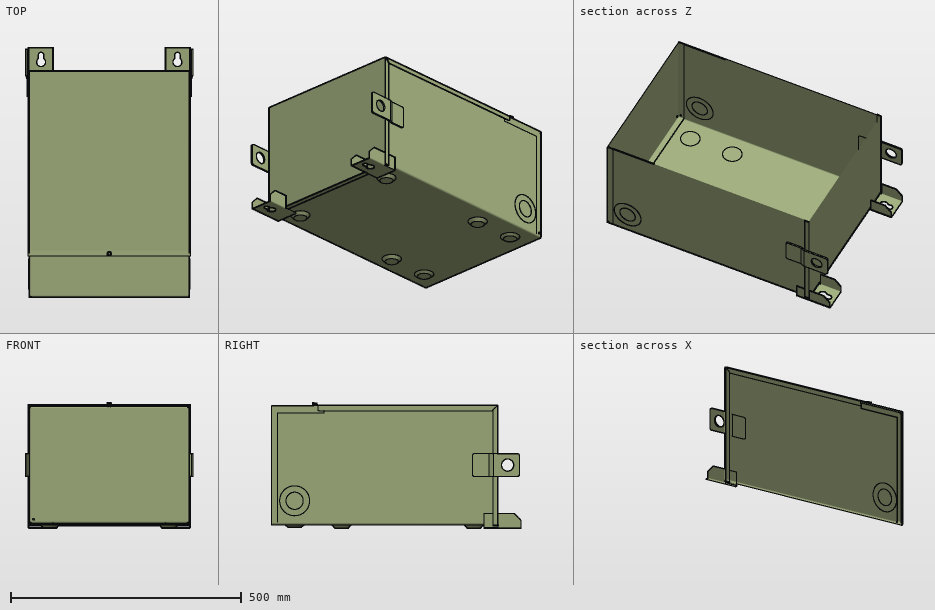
import cadquery as cq
import math

SHEET = 1.9
BEND_RADIUS = 4.0

TROUGH_HALF_WIDTH = 174.5
TROUGH_FLOOR_Z = 7.0
TROUGH_TOP_Z = 266.0
TROUGH_BEND_RADIUS = 4.5
TROUGH_FRONT_CORNER = 2.0

FOOT_X = 129.0
FOOT_TOP_DIAMETER = 42.0
FOOT_BOTTOM_DIAMETER = 29.0
FULL_FOOT_Y = (152.0, 439.5)
KNOCKOUT_Y = 50.5
FRONT_FOOT_BOTTOM_Z = 2.0

KNOCKOUT_Z = 59.5
KNOCKOUT_OUTER_DIAMETER = 65.0
KNOCKOUT_INNER_DIAMETER = 37.5
KNOCKOUT_HEIGHT = 0.5

CORNER_HOLE_DIAMETER = 4.0
SIDE_HOLE_Y = 5.5
SIDE_HOLE_Z = 17.5
FRONT_HOLE_X = -164.0
FRONT_HOLE_Z = 19.5

FRONT_HALF_WIDTH = TROUGH_HALF_WIDTH - SHEET
FRONT_BOTTOM_Z = 11.0
FRONT_TOP_Z = TROUGH_TOP_Z - SHEET
FRONT_TOP_DEPTH = 114.0
FRONT_FLANGE = 13.5

COVER_HALF_WIDTH = TROUGH_HALF_WIDTH + SHEET
COVER_FRONT_Y = 101.0
COVER_BACK_Y = 492.0
COVER_BOTTOM_Z = TROUGH_FLOOR_Z - SHEET
COVER_TOP_Z = TROUGH_TOP_Z + SHEET
TOP_FLANGE = 13.0
BACK_FLANGE = 11.5
FLANGE_CORNER = 3.0
MITRE_GAP = 0.25
TROUGH_BACK_Y = COVER_BACK_Y - SHEET

LIP_LENGTH = 11.5
LIP_RISE = 0.8
LIP_ANGLE = math.atan2(LIP_RISE, LIP_LENGTH)

SCREW_Y = 94.0
SCREW_TOP_Z = 272.5
SCREW_HEAD_DIAMETER = 10.0
SCREW_SHANK_DIAMETER = 5.5
SCREW_SHANK_LENGTH = 10.0
SCREW_SOCKET_DIAMETER = 6.0
SCREW_SOCKET_DEPTH = 1.5

BRACKET_FRONT_Y = 461.0
BRACKET_BACK_Y = 541.5
BRACKET_OUTER_X = COVER_HALF_WIDTH
BRACKET_INNER_X = 121.0
BRACKET_HEIGHT = 32.5
BRACKET_CHAMFER = 15.0
BRACKET_BEND_RADIUS = 2.5
KEYHOLE_X = 148.0
KEYHOLE_Y = 510.0
KEYHOLE_DIAMETER = 19.0
KEYHOLE_SLOT_WIDTH = 11.5
KEYHOLE_TOP_Y = 531.5

LUG_SHEET = 3.5
LUG_OFFSET = 4.0
LUG_FRONT_Y = 436.0
LUG_BACK_Y = 538.5
LUG_STEP_START_Y = 472.5
LUG_STEP_END_Y = 481.5
LUG_HEIGHT = 50.0
LUG_CENTRE_Z = 137.0
LUG_CORNER = 5.0
LUG_HOLE_DIAMETER = 26.0
LUG_HOLE_Y = 512.5


def block(x_range, y_range, z_range):
    """Box between two limits along each axis."""
    (x0, x1), (y0, y1), (z0, z1) = x_range, y_range, z_range
    return cq.Workplane("XY").box(x1 - x0, y1 - y0, z1 - z0, centered=False).translate((x0, y0, z0))


def centred_block(half_width, y_range, z_range):
    return block((-half_width, half_width), y_range, z_range)


def rod_x(diameter, y, z, x_start, length):
    """Cylinder along +X."""
    plane = cq.Plane(origin=(x_start, y, z), xDir=(0, 1, 0), normal=(1, 0, 0))
    return cq.Workplane(plane).circle(diameter / 2).extrude(length)


def mirrored(shape):
    return shape.mirror("YZ")


def make_foot(x, y, bottom_z):
    """Truncated cone below the floor."""
    return (
        cq.Workplane("XY", origin=(x, y, TROUGH_FLOOR_Z))
        .circle(FOOT_TOP_DIAMETER / 2)
        .workplane(offset=bottom_z - TROUGH_FLOOR_Z)
        .circle(FOOT_BOTTOM_DIAMETER / 2)
        .loft(combine=True)
    )


def make_knockout():
    """Raised ring on the -X wall."""
    start_x = -TROUGH_HALF_WIDTH - KNOCKOUT_HEIGHT
    ring = rod_x(KNOCKOUT_OUTER_DIAMETER, KNOCKOUT_Y, KNOCKOUT_Z, start_x, KNOCKOUT_HEIGHT)
    return ring.cut(rod_x(KNOCKOUT_INNER_DIAMETER, KNOCKOUT_Y, KNOCKOUT_Z, start_x, KNOCKOUT_HEIGHT))


def make_trough():
    length = (0, TROUGH_BACK_Y)
    outer = centred_block(TROUGH_HALF_WIDTH, length, (TROUGH_FLOOR_Z, TROUGH_TOP_Z))
    outer = outer.edges("|Y and <Z").fillet(TROUGH_BEND_RADIUS)
    inner = centred_block(TROUGH_HALF_WIDTH - SHEET, length, (TROUGH_FLOOR_Z + SHEET, TROUGH_TOP_Z))
    inner = inner.edges("|Y and <Z").fillet(TROUGH_BEND_RADIUS - SHEET)
    trough = outer.cut(inner)
    trough = trough.edges("|X and <Y and >Z").fillet(TROUGH_FRONT_CORNER)
    for side in (-1, 1):
        for y in FULL_FOOT_Y:
            trough = trough.union(make_foot(side * FOOT_X, y, 0))
        trough = trough.union(make_foot(side * FOOT_X, KNOCKOUT_Y, FRONT_FOOT_BOTTOM_Z))
    knockout = make_knockout()
    trough = trough.union(knockout).union(mirrored(knockout))
    side_hole = rod_x(CORNER_HOLE_DIAMETER, SIDE_HOLE_Y, SIDE_HOLE_Z, -TROUGH_HALF_WIDTH, SHEET)
    return trough.cut(side_hole)


def make_front_panel():
    height = (FRONT_BOTTOM_Z, FRONT_TOP_Z)
    outer = centred_block(FRONT_HALF_WIDTH, (0, FRONT_TOP_DEPTH), height)
    outer = outer.edges("|Y or <Y").fillet(BEND_RADIUS)
    inner = centred_block(
        FRONT_HALF_WIDTH - SHEET, (SHEET, FRONT_TOP_DEPTH), (FRONT_BOTTOM_Z + SHEET, FRONT_TOP_Z - SHEET)
    )
    inner = inner.edges("|Y or <Y").fillet(BEND_RADIUS - SHEET)
    opening = centred_block(
        FRONT_HALF_WIDTH, (FRONT_FLANGE, FRONT_TOP_DEPTH), (FRONT_BOTTOM_Z, FRONT_TOP_Z - FRONT_FLANGE)
    )
    corner_hole = (
        cq.Workplane("XZ", origin=(FRONT_HOLE_X, 0, FRONT_HOLE_Z))
        .circle(CORNER_HOLE_DIAMETER / 2)
        .extrude(-SHEET)
    )
    return outer.cut(inner).cut(opening).cut(corner_hole).cut(make_screw_shank())


def make_lip():
    """Strip rising towards the front along the cover's top edge."""
    front_y = COVER_FRONT_Y - LIP_LENGTH
    return (
        cq.Workplane("YZ", origin=(-COVER_HALF_WIDTH, 0, 0))
        .moveTo(COVER_FRONT_Y, COVER_TOP_Z - SHEET)
        .lineTo(COVER_FRONT_Y, COVER_TOP_Z)
        .lineTo(front_y, COVER_TOP_Z + LIP_RISE)
        .lineTo(front_y, COVER_TOP_Z + LIP_RISE - SHEET)
        .close()
        .extrude(2 * COVER_HALF_WIDTH)
    )


def make_mitre_cut():
    """Narrow diagonal cut between the top and back side flanges, clear of the bends."""
    corner_y = COVER_BACK_Y - BEND_RADIUS
    corner_z = COVER_TOP_Z - BEND_RADIUS
    slit_length = 2 * math.hypot(TOP_FLANGE, BACK_FLANGE)
    slit = centred_block(
        COVER_HALF_WIDTH,
        (corner_y - MITRE_GAP / 2, corner_y + MITRE_GAP / 2),
        (corner_z - slit_length, corner_z),
    )
    return slit.rotate((0, corner_y, corner_z), (1, corner_y, corner_z), -45)


def make_cover():
    outer = centred_block(
        COVER_HALF_WIDTH, (COVER_FRONT_Y, COVER_BACK_Y), (COVER_BOTTOM_Z, COVER_TOP_Z)
    )
    outer = outer.edges("|Y or >Y").fillet(BEND_RADIUS)
    inner = centred_block(
        TROUGH_HALF_WIDTH, (COVER_FRONT_Y, TROUGH_BACK_Y), (TROUGH_FLOOR_Z, TROUGH_TOP_Z)
    )
    opening = centred_block(
        COVER_HALF_WIDTH,
        (COVER_FRONT_Y, COVER_BACK_Y - BACK_FLANGE),
        (COVER_BOTTOM_Z, COVER_TOP_Z - TOP_FLANGE),
    )
    cover = outer.cut(inner).cut(opening)
    flange_corner = cq.selectors.BoxSelector(
        (-COVER_HALF_WIDTH - SHEET, COVER_FRONT_Y - SHEET, COVER_TOP_Z - TOP_FLANGE - SHEET),
        (COVER_HALF_WIDTH + SHEET, COVER_FRONT_Y + SHEET, COVER_TOP_Z - TOP_FLANGE + SHEET),
    )
    cover = cover.edges("|X").edges(flange_corner).fillet(FLANGE_CORNER)
    return cover.cut(make_mitre_cut()).union(make_lip()).cut(make_screw_shank())


def lip_surface_z(y):
    return COVER_TOP_Z + (COVER_FRONT_Y - y) * math.tan(LIP_ANGLE)


def lip_plane():
    """Workplane on the lip's upper face at the screw, square to the lip."""
    origin = (0, SCREW_Y, lip_surface_z(SCREW_Y))
    normal = (0, math.sin(LIP_ANGLE), math.cos(LIP_ANGLE))
    return cq.Workplane(cq.Plane(origin=origin, xDir=(1, 0, 0), normal=normal))


def make_screw_shank():
    return lip_plane().circle(SCREW_SHANK_DIAMETER / 2).extrude(-SCREW_SHANK_LENGTH)


def make_screw():
    """Socket-head screw whose raised head edge reaches SCREW_TOP_Z."""
    edge_rise = SCREW_HEAD_DIAMETER / 2 * math.sin(LIP_ANGLE)
    head_height = (SCREW_TOP_Z - lip_surface_z(SCREW_Y) - edge_rise) / math.cos(LIP_ANGLE)
    head = lip_plane().circle(SCREW_HEAD_DIAMETER / 2).extrude(head_height)
    socket = (
        lip_plane()
        .workplane(offset=head_height)
        .circle(SCREW_SOCKET_DIAMETER / 2)
        .extrude(-SCREW_SOCKET_DEPTH)
    )
    return head.cut(socket).union(make_screw_shank())


def make_keyhole():
    slot_end_y = KEYHOLE_TOP_Y - KEYHOLE_SLOT_WIDTH / 2
    keyhole_plane = cq.Workplane("XY", origin=(-KEYHOLE_X, 0, 0))
    entry = keyhole_plane.center(0, KEYHOLE_Y).circle(KEYHOLE_DIAMETER / 2).extrude(SHEET)
    slot_end = keyhole_plane.center(0, slot_end_y).circle(KEYHOLE_SLOT_WIDTH / 2).extrude(SHEET)
    half_slot = KEYHOLE_SLOT_WIDTH / 2
    slot = block(
        (-KEYHOLE_X - half_slot, -KEYHOLE_X + half_slot), (KEYHOLE_Y, slot_end_y), (0, SHEET)
    )
    return entry.union(slot).union(slot_end)


def make_bracket():
    """Channel-shaped bracket at -X; the cover's back flange passes through a notch in it."""
    width = (-BRACKET_OUTER_X, -BRACKET_INNER_X)
    length = (BRACKET_FRONT_Y, BRACKET_BACK_Y)
    outer = block(width, length, (0, BRACKET_HEIGHT))
    outer = outer.edges("|Y and <Z").fillet(BRACKET_BEND_RADIUS)
    inner = block(
        (-BRACKET_OUTER_X + SHEET, -BRACKET_INNER_X - SHEET), length, (SHEET, BRACKET_HEIGHT)
    )
    inner = inner.edges("|Y and <Z").fillet(BRACKET_BEND_RADIUS - SHEET)
    bracket = outer.cut(inner).edges("|X and >Y and >Z").chamfer(BRACKET_CHAMFER)
    cover_notch = block(
        width, (COVER_BACK_Y - BACK_FLANGE, COVER_BACK_Y), (COVER_BOTTOM_Z, BRACKET_HEIGHT)
    )
    floor_clearance = block(
        (-TROUGH_HALF_WIDTH, -BRACKET_INNER_X), (BRACKET_FRONT_Y, COVER_BACK_Y), (SHEET, BRACKET_HEIGHT)
    )
    return bracket.cut(cover_notch).cut(floor_clearance).cut(make_keyhole())


def make_lug():
    """Stepped lifting lug at -X, fixed to the side wall and clearing the cover."""
    inner_x = -TROUGH_HALF_WIDTH
    outer_x = inner_x - LUG_SHEET
    lug = (
        cq.Workplane("XY", origin=(0, 0, LUG_CENTRE_Z - LUG_HEIGHT / 2))
        .moveTo(inner_x, LUG_FRONT_Y)
        .lineTo(inner_x, LUG_STEP_START_Y)
        .lineTo(inner_x - LUG_OFFSET, LUG_STEP_END_Y)
        .lineTo(inner_x - LUG_OFFSET, LUG_BACK_Y)
        .lineTo(outer_x - LUG_OFFSET, LUG_BACK_Y)
        .lineTo(outer_x - LUG_OFFSET, LUG_STEP_END_Y)
        .lineTo(outer_x, LUG_STEP_START_Y)
        .lineTo(outer_x, LUG_FRONT_Y)
        .close()
        .extrude(LUG_HEIGHT)
    )
    lug = lug.edges("|X and (<Y or >Y)").fillet(LUG_CORNER)
    hole = rod_x(LUG_HOLE_DIAMETER, LUG_HOLE_Y, LUG_CENTRE_Z, outer_x - LUG_OFFSET, LUG_SHEET)
    return lug.cut(hole)


trough = make_trough()
front_panel = make_front_panel()
cover = make_cover()
screw = make_screw()
mirrored_pairs = []
for left_body in (make_bracket(), make_lug()):
    mirrored_pairs += [left_body.val(), mirrored(left_body).val()]

result = cq.Compound.makeCompound(
    [trough.val(), front_panel.val(), cover.val(), screw.val(), *mirrored_pairs]
)